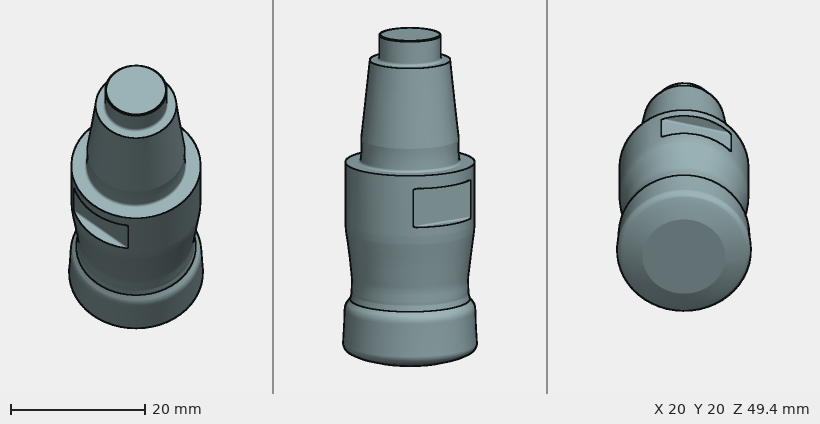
import cadquery as cq

total_height = 49.4
cap_top = 8.95
neck_foot = 9.85
neck_bottom = 10.3
neck_waist = 11.45
neck_top = 12.65
barrel_bend = 19.35
barrel_bottom = 20.7
barrel_top = 29.9
taper_bottom = 33.5
shoulder = 45.5

nose_radius = 9.2 / 2
barrel_radius = 19.3 / 2
shoulder_radius = 6.05
taper_radius = 7.3
collar_waist_radius = 7.25
collar_radius = 7.35
bend_radius = 9.6
neck_radius = 8.75
neck_waist_radius = 8.7
joint_radius = 8.95

foot_fillet = 0.45
nose_chamfer = 0.15

flat_spacing = 16.05
flat_height = 5.95
flat_center_z = 24.95
flat_corner_radius = 0.3

cap_radius = 20.0 / 2
cap_base_radius = 6.2
cap_rim_z = 1.6
cap_rim_radius = 9.85
cap_widest_z = 2.45
cap_side_top_z = 7.3
cap_side_top_radius = 9.8
cap_shoulder_z = 8.25
cap_shoulder_radius = 9.5
dome_top_z = 1.15
dome_radius = 9.4
base_bulge_z = 0.6
base_bulge_radius = 8.2


def add_foot_fillet(profile, wall_radius, floor_z):
    """Continue a profile down a wall's concave foot, from the floor up to the wall."""
    inset = foot_fillet * (1 - 0.5 ** 0.5)
    return profile.threePointArc(
        (wall_radius + inset, floor_z + inset),
        (wall_radius, floor_z + foot_fillet),
    )


def make_body():
    """Turned body with a nose, a taper, a cylindrical barrel and a waisted neck."""
    collar_bottom = barrel_top + foot_fillet
    profile = (
        cq.Workplane("XZ")
        .moveTo(0, cap_top)
        .lineTo(joint_radius, cap_top)
        .lineTo(neck_radius, neck_foot)
        .lineTo(neck_radius, neck_bottom)
        .lineTo(neck_waist_radius, neck_waist)
        .tangentArcPoint((neck_radius, neck_top), relative=False)
        .lineTo(bend_radius, barrel_bend)
        .tangentArcPoint((barrel_radius, barrel_bottom), relative=False)
        .lineTo(barrel_radius, barrel_top)
        .lineTo(collar_radius + foot_fillet, barrel_top)
    )
    profile = (
        add_foot_fillet(profile, collar_radius, barrel_top)
        .threePointArc(
            (collar_waist_radius, (collar_bottom + taper_bottom) / 2),
            (taper_radius, taper_bottom),
        )
        .lineTo(shoulder_radius, shoulder)
        .lineTo(nose_radius + foot_fillet, shoulder)
    )
    profile = (
        add_foot_fillet(profile, nose_radius, shoulder)
        .lineTo(nose_radius, total_height - nose_chamfer)
        .lineTo(nose_radius - nose_chamfer, total_height)
        .lineTo(0, total_height)
        .close()
    )
    return profile.revolve(360, (0, 0, 0), (0, 1, 0))


def make_flat_cutter(side):
    """Block that cuts the wrench flat on the -Y side (-1) or the +Y side (+1)."""
    depth = barrel_radius
    inner_face = "<Y" if side > 0 else ">Y"
    return (
        cq.Workplane("XY")
        .box(2 * barrel_radius, depth, flat_height)
        .faces(inner_face)
        .edges("|X")
        .fillet(flat_corner_radius)
        .translate((0, side * (flat_spacing + depth) / 2, flat_center_z))
    )


def make_cap():
    """Rounded end cap with a shallow domed base and slightly tapered sides."""
    return (
        cq.Workplane("XZ")
        .lineTo(cap_base_radius, 0)
        .threePointArc((base_bulge_radius, base_bulge_z), (dome_radius, dome_top_z))
        .threePointArc((cap_rim_radius, cap_rim_z), (cap_radius, cap_widest_z))
        .lineTo(cap_side_top_radius, cap_side_top_z)
        .tangentArcPoint((cap_shoulder_radius, cap_shoulder_z), relative=False)
        .lineTo(joint_radius, cap_top)
        .lineTo(0, cap_top)
        .close()
        .revolve(360, (0, 0, 0), (0, 1, 0))
    )


body = make_body()
for side in (-1, 1):
    body = body.cut(make_flat_cutter(side))

cap = make_cap()

result = cq.Compound.makeCompound([body.val(), cap.val()])